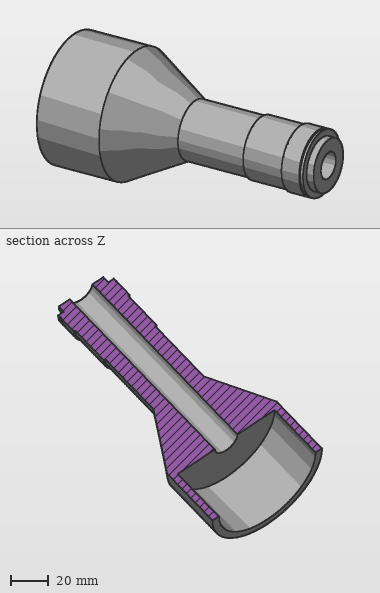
import cadquery as cq

cup_end = 38.5
cone_end = 75.1
sleeve_start = 116.0
collar_start = 140.3
groove_start = 151.2
groove_width = 0.5
collar_end = 153.5
total_length = 157.8

cup_diameter = 74.2
neck_diameter = 34.1
sleeve_diameter = 36.0
collar_diameter = 37.9
tip_diameter = 30.3
groove_depth = 0.3

cup_bore_diameter = 65.3
cup_bore_depth = 34.7
through_hole_diameter = 15.1


def cylinder(start, end, diameter):
    """Solid cylinder centred on the X axis between two positions."""
    return cq.Workplane("YZ", origin=(start, 0, 0)).circle(diameter / 2).extrude(end - start)


def cone():
    """Taper from the cup down to the neck."""
    profile = [
        (cup_end, 0),
        (cup_end, cup_diameter / 2),
        (cone_end, neck_diameter / 2),
        (cone_end, 0),
    ]
    return cq.Workplane("XY").polyline(profile).close().revolve(360, (0, 0, 0), (1, 0, 0))


def collar_groove():
    """Ring of material removed to leave the narrow groove around the collar."""
    groove_end = groove_start + groove_width
    outside = cylinder(groove_start, groove_end, collar_diameter)
    core = cylinder(groove_start, groove_end, collar_diameter - 2 * groove_depth)
    return outside.cut(core)


body = (
    cylinder(0, cup_end, cup_diameter)
    .union(cone())
    .union(cylinder(cone_end, sleeve_start, neck_diameter))
    .union(cylinder(sleeve_start, collar_start, sleeve_diameter))
    .union(cylinder(collar_start, collar_end, collar_diameter))
    .union(cylinder(collar_end, total_length, tip_diameter))
)

result = (
    body.cut(cylinder(0, cup_bore_depth, cup_bore_diameter))
    .cut(cylinder(0, total_length, through_hole_diameter))
    .cut(collar_groove())
)